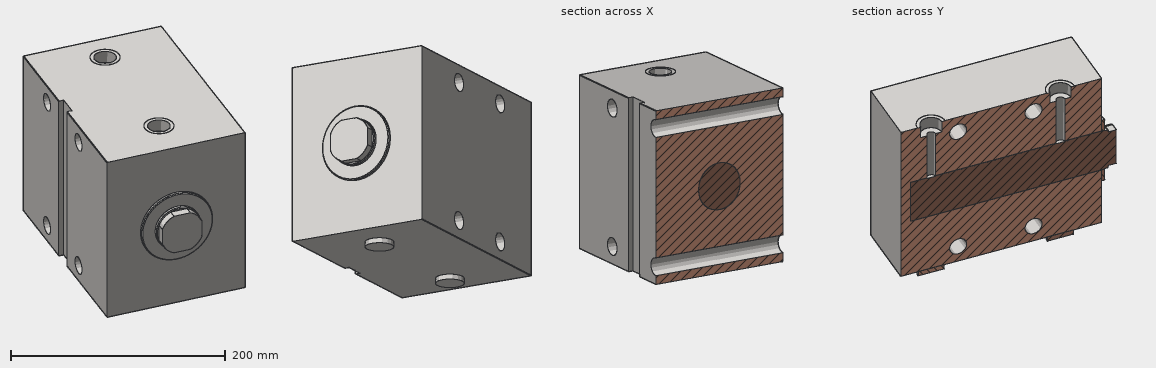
import cadquery as cq

LENGTH = 220.0
HOUSING_LENGTH = 205.0
HOUSING_WIDTH = 140.0
HOUSING_HEIGHT = 170.0
EDGE_CHAMFER = 0.55
FRONT_Y = -HOUSING_WIDTH / 2
TOP_Z = HOUSING_HEIGHT / 2
BOTTOM_Z = -TOP_Z

KEYWAY_X = 97.0
KEYWAY_WIDTH = 20.2
KEYWAY_DEPTH = 5.0
MOUNT_DIAMETER = 17.0
MOUNT_SPACING_X = 77.0
MOUNT_SPACING_Z = 135.0

FIRST_PORT_X = 31.0
PORT_SPACING = 132.0
PORT_XS = [FIRST_PORT_X, FIRST_PORT_X + PORT_SPACING]
SPOTFACE_DIAMETER = 28.2
SPOTFACE_DEPTH = 0.2
PORT_DIAMETER = 21.1
PORT_DEPTH = 12.3
PASSAGE_DIAMETER = 8.4
PLUG_DIAMETER = 26.8
PLUG_HEIGHT = 4.8

ROD_DIAMETER = 45.0
ROD_START_X = 10.0
COLLAR_PROJECTION = 6.8
COLLAR_CHAMFER = 0.9
ROD_TIP_DIAMETER = ROD_DIAMETER - 2 * COLLAR_CHAMFER
WRENCH_FLATS = 40.0
GLAND_DIAMETER = 72.0
GLAND_THICKNESS = 3.3
GLAND_CHAMFER = 0.9


def cylinder_x(diameter, start_x, end_x):
    """Cylinder on the rod axis between two X positions."""
    section = cq.Workplane("YZ").workplane(offset=start_x).circle(diameter / 2)
    return section.extrude(end_x - start_x)


def cylinder_z(diameter, x, bottom_z, top_z):
    """Vertical cylinder at Y = 0 between two Z positions."""
    section = cq.Workplane("XY").workplane(offset=bottom_z).center(x, 0).circle(diameter / 2)
    return section.extrude(top_z - bottom_z)


def make_port(x):
    """Cutter for one port: shallow spotface, port hole and passage to the rod bore."""
    spotface = cylinder_z(SPOTFACE_DIAMETER, x, TOP_Z - SPOTFACE_DEPTH, TOP_Z)
    port_hole = cylinder_z(PORT_DIAMETER, x, TOP_Z - PORT_DEPTH, TOP_Z)
    passage = cylinder_z(PASSAGE_DIAMETER, x, 0, TOP_Z)
    return spotface.union(port_hole).union(passage)


def make_mount_holes():
    """Cutter for the four mounting holes through the housing along Y."""
    return (
        cq.Workplane("XZ")
        .center(KEYWAY_X, 0)
        .rarray(MOUNT_SPACING_X, MOUNT_SPACING_Z, 2, 2)
        .circle(MOUNT_DIAMETER / 2)
        .extrude(HOUSING_WIDTH / 2, both=True)
    )


def make_housing():
    """Block with keyway, mounting holes, rod bore and ports."""
    block = cq.Workplane("XY").box(
        HOUSING_LENGTH, HOUSING_WIDTH, HOUSING_HEIGHT, centered=(False, True, True)
    )
    block = block.edges("|X").chamfer(EDGE_CHAMFER)
    keyway = (
        cq.Workplane("XY")
        .box(KEYWAY_WIDTH, 2 * KEYWAY_DEPTH, HOUSING_HEIGHT)
        .translate((KEYWAY_X, FRONT_Y, 0))
    )
    bore = cylinder_x(ROD_DIAMETER, ROD_START_X, HOUSING_LENGTH)
    block = block.cut(keyway).cut(make_mount_holes()).cut(bore)
    for x in PORT_XS:
        block = block.cut(make_port(x))
    return block


def make_gland():
    """Ring on the housing end face around the rod, chamfered on its outer rim."""
    gland_end_x = HOUSING_LENGTH + GLAND_THICKNESS
    disc = cylinder_x(GLAND_DIAMETER, HOUSING_LENGTH, gland_end_x)
    disc = disc.faces(">X").chamfer(GLAND_CHAMFER)
    return disc.cut(cylinder_x(ROD_DIAMETER, HOUSING_LENGTH, gland_end_x))


def make_rod():
    """Round rod with a chamfered collar and a tip with four wrench flats."""
    collar_end_x = HOUSING_LENGTH + COLLAR_PROJECTION
    shank = cylinder_x(ROD_DIAMETER, ROD_START_X, collar_end_x)
    shank = shank.faces(">X").chamfer(COLLAR_CHAMFER)
    flats = (
        cq.Workplane("YZ")
        .workplane(offset=collar_end_x)
        .rect(WRENCH_FLATS, WRENCH_FLATS)
        .extrude(LENGTH - collar_end_x)
    )
    tip = cylinder_x(ROD_TIP_DIAMETER, collar_end_x, LENGTH).intersect(flats)
    return shank.union(tip)


def make_plug(x):
    """Round seal plug standing out from the bottom face below a port."""
    return cylinder_z(PLUG_DIAMETER, x, BOTTOM_Z - PLUG_HEIGHT, BOTTOM_Z)


housing = make_housing()
gland = make_gland()
rod = make_rod()
plugs = [make_plug(x).val() for x in PORT_XS]

result = cq.Compound.makeCompound([housing.val(), gland.val(), rod.val(), *plugs])